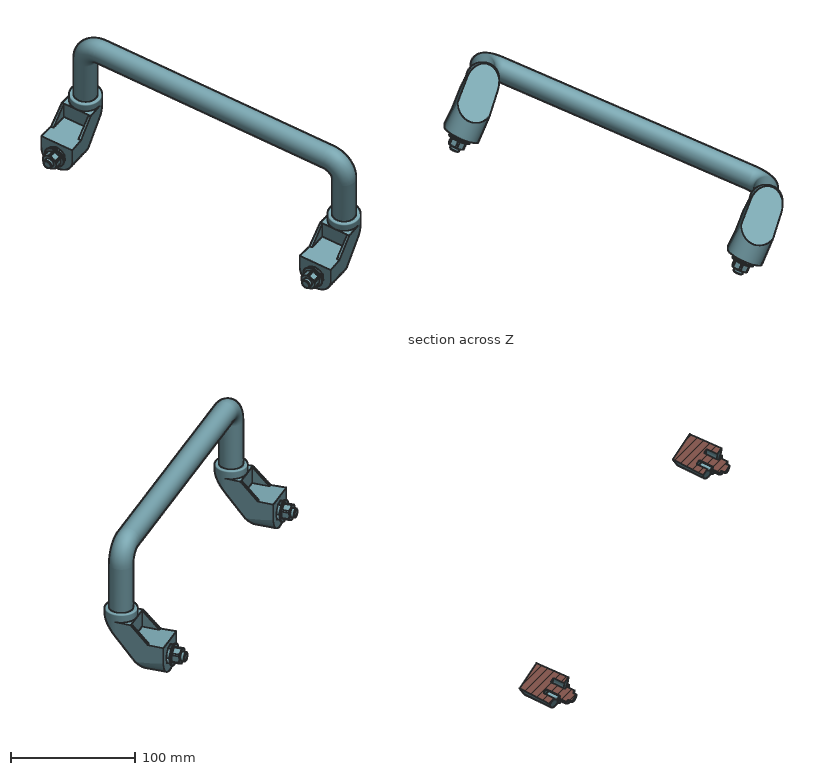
import cadquery as cq
import math

overall_length = 280.0
overall_height = 115.0
foot_width = 30.0
leg_spacing = overall_length - foot_width

tube_dia = 20.0
bend_radius = 15.0
grip_height = overall_height - tube_dia / 2

collar_dia = 27.0
collar_radius = collar_dia / 2
collar_top = 50.0
collar_edge_round = 1.0

mounting_face_y = -42.0
foot_radius = foot_width / 2
bolt_height = foot_radius
shoulder_height = 43.0
foot_top = 28.0
top_slope_end_y = -collar_radius - (shoulder_height - foot_top)
back_slope_top = 45.0
back_slope_end_y = -26.0

pocket_width = 24.0
pocket_floor = foot_top

recess_dia = 16.0
recess_depth = 10.0

stud_dia = 8.0
stud_protrusion = 14.0
stud_end_chamfer = 0.6
washer_dia = 18.2
washer_thickness = 1.0
washer_gap = 3.0
nut_sides = 6
nut_across_flats = 13.0
nut_corner_dia = 14.2
nut_height = 6.5
nut_end_chamfer = 0.6


def make_tube():
    """Solid bar with a quarter bend at each end, legs running down into the collars."""
    half = leg_spacing / 2
    bend_start = grip_height - bend_radius
    straight_end = half - bend_radius
    bend_diagonal = bend_radius * math.sqrt(0.5)
    bend_mid_x = straight_end + bend_diagonal
    bend_mid_z = bend_start + bend_diagonal
    path = (
        cq.Workplane("XZ")
        .moveTo(-half, shoulder_height)
        .lineTo(-half, bend_start)
        .threePointArc((-bend_mid_x, bend_mid_z), (-straight_end, grip_height))
        .lineTo(straight_end, grip_height)
        .threePointArc((bend_mid_x, bend_mid_z), (half, bend_start))
        .lineTo(half, shoulder_height)
    )
    profile = cq.Workplane("XY", origin=(-half, 0, shoulder_height)).circle(tube_dia / 2)
    return profile.sweep(path)


def make_collar():
    """Upright cylinder around the leg with a rounded top edge."""
    return (
        cq.Workplane("XY")
        .circle(collar_radius)
        .extrude(collar_top)
        .faces(">Z")
        .edges()
        .fillet(collar_edge_round)
    )


def make_foot_block():
    """Block widening towards the mounting face, with a round underside."""
    tapered = (
        cq.Workplane("XY")
        .moveTo(-collar_radius, 0)
        .lineTo(-foot_width / 2, mounting_face_y)
        .lineTo(foot_width / 2, mounting_face_y)
        .lineTo(collar_radius, 0)
        .close()
        .extrude(shoulder_height)
    )
    arch = (
        cq.Workplane("XZ")
        .moveTo(-foot_radius, shoulder_height)
        .lineTo(-foot_radius, bolt_height)
        .threePointArc((0, bolt_height - foot_radius), (foot_radius, bolt_height))
        .lineTo(foot_radius, shoulder_height)
        .close()
        .extrude(-mounting_face_y)
    )
    return tapered.intersect(arch)


def make_side_envelope():
    """Side outline of collar and foot, as a slab wider than the foot."""
    return (
        cq.Workplane("YZ")
        .moveTo(collar_radius, collar_top)
        .lineTo(collar_radius, back_slope_top)
        .lineTo(back_slope_end_y, 0)
        .lineTo(mounting_face_y, 0)
        .lineTo(mounting_face_y, foot_top)
        .lineTo(top_slope_end_y, foot_top)
        .lineTo(-collar_radius, shoulder_height)
        .lineTo(-collar_radius, collar_top)
        .close()
        .extrude(foot_width, both=True)
    )


def make_pocket():
    """Cutter that opens the sloping top between two side walls."""
    pocket_length = -collar_radius - mounting_face_y
    pocket_depth = collar_top - pocket_floor
    return (
        cq.Workplane("XY", origin=(0, mounting_face_y, pocket_floor))
        .box(pocket_width, pocket_length, pocket_depth, centered=(True, False, False))
    )


def forward_plane(y):
    """Plane on the stud axis at the given Y, extruding towards -Y."""
    return cq.Workplane("XZ", origin=(0, y, bolt_height))


def make_recess():
    """Cutter for the round recess that the stud stands in."""
    recess_bottom_y = mounting_face_y + recess_depth
    return forward_plane(recess_bottom_y).circle(recess_dia / 2).extrude(recess_depth)


def make_fastener():
    """Stud with washer and hexagon nut in front of the mounting face."""
    stud = (
        forward_plane(mounting_face_y + recess_depth)
        .circle(stud_dia / 2)
        .extrude(recess_depth + stud_protrusion)
        .faces("<Y")
        .edges()
        .chamfer(stud_end_chamfer)
    )
    washer_y = mounting_face_y - washer_gap
    nut_y = washer_y - washer_thickness
    washer = forward_plane(washer_y).circle(washer_dia / 2).extrude(washer_thickness)
    corner_angle = 360 / nut_sides
    hexagon_dia = nut_across_flats / math.cos(math.radians(corner_angle / 2))
    hexagon = (
        forward_plane(nut_y)
        .transformed(rotate=(0, 0, corner_angle / 2))
        .polygon(nut_sides, hexagon_dia)
        .extrude(nut_height)
    )
    turned = (
        forward_plane(nut_y)
        .circle(nut_corner_dia / 2)
        .extrude(nut_height)
        .faces("<Y")
        .edges()
        .chamfer(nut_end_chamfer)
    )
    return stud.union(washer).union(hexagon.intersect(turned))


def make_foot():
    """Collar, foot and fastener of one leg, with the leg axis on Z."""
    body = make_collar().union(make_foot_block()).intersect(make_side_envelope())
    return body.cut(make_pocket()).cut(make_recess()).union(make_fastener())


foot = make_foot()
result = make_tube()
for side in (-1, 1):
    result = result.union(foot.translate((side * leg_spacing / 2, 0, 0)))